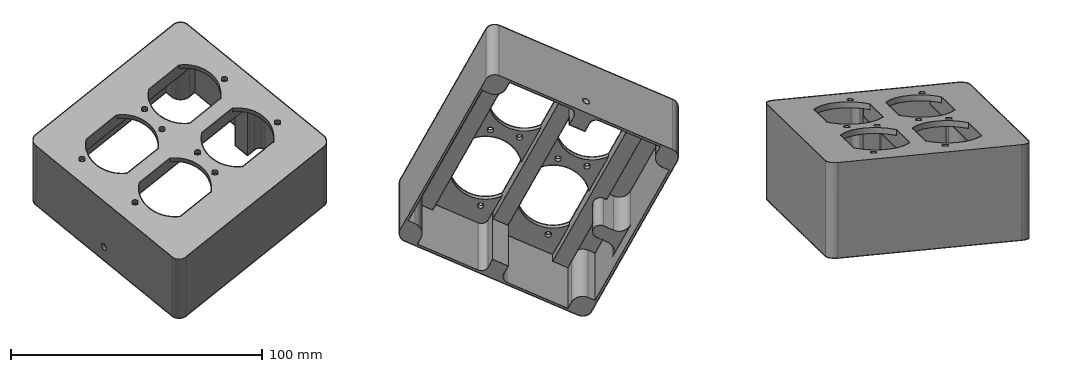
import cadquery as cq
import math

side = 85.0
height = 40.0
corner_radius = 4.0
wall = 1.0
plate_thickness = 2.5
cavity_half = side / 2 - wall
cavity_corner_radius = corner_radius - wall
cavity_height = height - plate_thickness

opening_pitch_x = 30.0
opening_pitch_y = 35.0
opening_diameter = 29.0
opening_width = 23.3
screw_hole_diameter = 2.5
screw_offset_x = 5.95
screw_offset_y = 16.5

rib_width = opening_pitch_x - opening_width
rib_bottom_z = height - 7.7

post_side = 8.1
post_radius = 5.0

centre_boss_width = 7.0
centre_boss_depth = 7.0
centre_boss_fillet = 3.0

side_boss_bottom_z = 10.4
side_boss_y = 9.5
side_boss_radius = 3.0
side_boss_depth = 12.5
side_boss_fillet = 5.0

slope_hole_diameter = 3.0
slope_hole_z = 9.1
slope_angle = 40.0
slope_hole_overrun = 3.4


def make_shell():
    outer = cq.Workplane("XY").box(side, side, height, centered=(True, True, False))
    cavity = cq.Workplane("XY").box(
        2 * cavity_half, 2 * cavity_half, cavity_height, centered=(True, True, False)
    )
    cavity = cavity.edges("|Z").fillet(cavity_corner_radius)
    return outer.edges("|Z").fillet(corner_radius).cut(cavity)


def make_ribs():
    rib_length = side - wall
    rib_height = height - plate_thickness - rib_bottom_z
    return (
        cq.Workplane("XY", origin=(0, 0, rib_bottom_z))
        .rarray(opening_pitch_x, 0.85, 3, 1)
        .rect(rib_width, rib_length)
        .extrude(rib_height)
    )


def make_corner_posts():
    centre = cavity_half - post_side / 2
    post = (
        cq.Workplane("XY")
        .center(centre, centre)
        .rect(post_side, post_side)
        .extrude(cavity_height)
        .edges("|Z and <X and <Y")
        .fillet(post_radius)
        .edges("|Z and >X and >Y")
        .fillet(cavity_corner_radius)
    )
    posts = post
    for angle in range(90, 360, 90):
        posts = posts.union(post.rotate((0, 0, 0), (0, 0, 1), angle))
    return posts


def make_wall_boss(width, depth, root_fillet, bottom_z):
    """Square boss pointing to -Y from a wall face at Y = 0, flared into the wall on both sides."""
    half = width / 2
    flare = half + root_fillet
    return (
        cq.Workplane("XY", origin=(0, 0, bottom_z))
        .moveTo(-flare, 0)
        .radiusArc((-half, -root_fillet), root_fillet)
        .lineTo(-half, -depth)
        .lineTo(half, -depth)
        .lineTo(half, -root_fillet)
        .radiusArc((flare, 0), root_fillet)
        .lineTo(flare, wall / 2)
        .lineTo(-flare, wall / 2)
        .close()
        .extrude(cavity_height - bottom_z)
    )


def make_centre_bosses():
    boss = make_wall_boss(centre_boss_width, centre_boss_depth, centre_boss_fillet, 0)
    back_boss = boss.translate((0, cavity_half, 0))
    return back_boss.union(back_boss.mirror("XZ"))


def make_side_boss():
    nose_depth = side_boss_depth - side_boss_radius
    boss = make_wall_boss(2 * side_boss_radius, nose_depth, side_boss_fillet, side_boss_bottom_z)
    nose = (
        cq.Workplane("XY", origin=(0, -nose_depth, side_boss_bottom_z))
        .circle(side_boss_radius)
        .extrude(cavity_height - side_boss_bottom_z)
    )
    boss = boss.union(nose).rotate((0, 0, 0), (0, 0, 1), -90)
    return boss.translate((cavity_half, side_boss_y, 0))


def make_plate_openings():
    plate = cq.Workplane("XY", origin=(0, 0, rib_bottom_z))
    cut_height = height - rib_bottom_z
    opening = plate.circle(opening_diameter / 2).extrude(cut_height)
    opening = opening.intersect(plate.rect(opening_width, side).extrude(cut_height))
    screw_holes = (
        plate.pushPoints([(screw_offset_x, screw_offset_y), (-screw_offset_x, -screw_offset_y)])
        .circle(screw_hole_diameter / 2)
        .extrude(cut_height)
    )
    pattern = opening.union(screw_holes)
    openings = cq.Workplane("XY")
    for x in (-opening_pitch_x / 2, opening_pitch_x / 2):
        for y in (-opening_pitch_y / 2, opening_pitch_y / 2):
            openings = openings.union(pattern.translate((x, y, 0)))
    return openings


def make_slope_hole():
    angle = math.radians(slope_angle)
    axis = cq.Vector(0, math.cos(angle), -math.sin(angle))
    mouth = cq.Vector(0, -side / 2, slope_hole_z)
    start = mouth - axis * slope_hole_overrun
    length = 2 * slope_hole_overrun + (wall + centre_boss_depth) / math.cos(angle)
    return cq.Workplane(
        cq.Solid.makeCylinder(slope_hole_diameter / 2, length, start, axis)
    )


result = (
    make_shell()
    .union(make_ribs())
    .union(make_corner_posts())
    .union(make_centre_bosses())
    .union(make_side_boss())
    .cut(make_plate_openings())
    .cut(make_slope_hole())
)